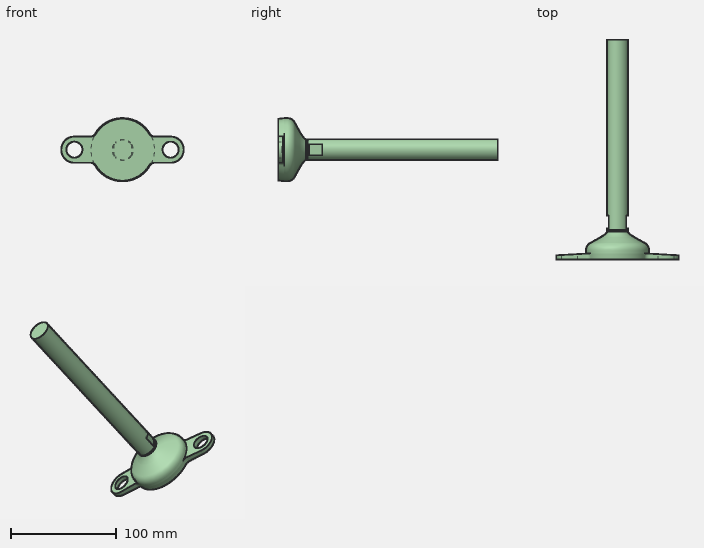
import cadquery as cq
import math


bell_radius = 30.0
underside_radius = 29.3
skirt_height = 5.8
shoulder_start = 8.8
shoulder_radius = 8.0
shoulder_sweep = math.radians(61.0)
flare_start = 21.4
flare_end = 26.4
flare_end_radius = 9.4
lip_height = 27.0

ear_length = 116.0
ear_width = 25.0
ear_end_radius = ear_width / 2
ear_centre = ear_length / 2 - ear_end_radius
ear_hole_diameter = 15.0
ear_root_fillet = 5.0
ear_tip_thickness = 4.2

stud_top = 208.0
stud_radius = 10.0
groove_radius = 7.4
groove_top = 28.3
groove_bottom = (groove_top + lip_height) / 2
flat_start = 29.7
flat_length = 12.0
across_flats = 17.0


def revolve_about_y(profile):
    """Revolve a closed XY profile, given as radius and height, about the Y axis."""
    return profile.close().revolve(360, (0, 0, 0), (0, 1, 0))


def make_bell():
    """Bell above the skirt: round shoulder, cone, flared neck and conical seat for the stud."""
    shoulder_centre = bell_radius - shoulder_radius

    def shoulder_point(angle):
        return (
            shoulder_centre + shoulder_radius * math.cos(angle),
            shoulder_start + shoulder_radius * math.sin(angle),
        )

    cone_radius, cone_height = shoulder_point(shoulder_sweep)
    flare_start_radius = cone_radius - (flare_start - cone_height) * math.tan(shoulder_sweep)
    profile = (
        cq.Workplane("XY")
        .moveTo(0, skirt_height)
        .lineTo(bell_radius, skirt_height)
        .lineTo(bell_radius, shoulder_start)
        .threePointArc(shoulder_point(shoulder_sweep / 2), (cone_radius, cone_height))
        .lineTo(flare_start_radius, flare_start)
        .tangentArcPoint((flare_end_radius, flare_end), relative=False)
        .lineTo(stud_radius, lip_height)
        .lineTo(groove_radius, groove_bottom)
        .lineTo(0, groove_bottom)
    )
    return revolve_about_y(profile)


def make_flange():
    """Drafted skirt joined to two bolting ears, with filleted roots and tops sloping to the tips."""
    skirt = revolve_about_y(
        cq.Workplane("XY")
        .lineTo(underside_radius, 0)
        .lineTo(bell_radius, skirt_height)
        .lineTo(0, skirt_height)
    )
    ear_bar = cq.Workplane("XZ").slot2D(ear_length, ear_width).extrude(-skirt_height)
    flange = skirt.union(ear_bar)

    flange = flange.edges("%HYPERBOLA").fillet(ear_root_fillet)

    slope_envelope = revolve_about_y(
        cq.Workplane("XY")
        .lineTo(ear_length / 2, 0)
        .lineTo(ear_length / 2, ear_tip_thickness)
        .lineTo(bell_radius, skirt_height)
        .lineTo(0, skirt_height)
    )
    ear_holes = (
        cq.Workplane("XZ")
        .pushPoints([(-ear_centre, 0), (ear_centre, 0)])
        .circle(ear_hole_diameter / 2)
        .extrude(-skirt_height)
    )
    return flange.intersect(slope_envelope).cut(ear_holes)


def make_foot():
    """Bell and flange as one solid."""
    return make_bell().union(make_flange())


def make_stud():
    """Round stud with a conical lower end and two wrench flats facing along X."""
    stud = revolve_about_y(
        cq.Workplane("XY")
        .moveTo(0, groove_bottom)
        .lineTo(groove_radius, groove_bottom)
        .lineTo(stud_radius, groove_top)
        .lineTo(stud_radius, stud_top)
        .lineTo(0, stud_top)
    )
    flat_depth = stud_radius - across_flats / 2
    for side in (-1, 1):
        flat_cut = cq.Workplane("XY").box(flat_depth, flat_length, 2 * stud_radius).translate(
            (side * (across_flats + flat_depth) / 2, flat_start + flat_length / 2, 0)
        )
        stud = stud.cut(flat_cut)
    return stud


foot = make_foot()
stud = make_stud()

result = cq.Compound.makeCompound([foot.val(), stud.val()])